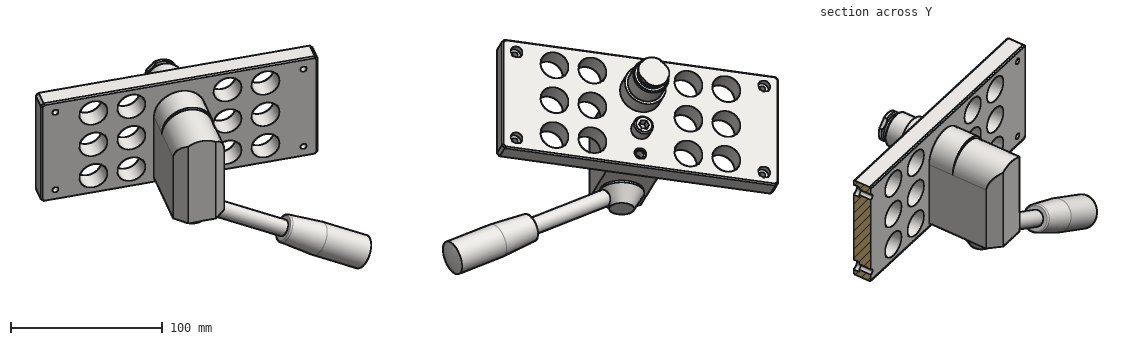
import cadquery as cq
import math


plate_thickness = 13.9
plate_width = 189.8
plate_height = 81.1
plate_top = 26.5
plate_center_z = plate_top - plate_height / 2
plate_corner_chamfer = 2.0
plate_face_chamfer = 1.0

grid_hole_diameter = 19.0
grid_pitch = 26.0
grid_inner_y = 33.0

screw_hole_diameter = 4.1
screw_head_diameter = 8.0
screw_head_depth = 4.3
screw_y = 85.0
screw_z = 32.0

socket_z = -45.1
socket_head_diameter = 8.0
socket_head_depth = 1.5
socket_diameter = 5.5
socket_depth = 8.7

body_half_width = 17.5
body_step_x = 32.8
body_end_x = 67.7
body_bottom = -50.5
front_crown_height = body_half_width
rear_crown_height = 15.8
body_end_chamfer = 8.0

plug_base_diameter = 28.2
plug_base_end = 11.7
plug_collar_diameter = 24.5
plug_collar_end = 25.4
plug_collar_chamfer = 0.9
plug_groove_diameter = 19.0
plug_groove_end = 28.0
plug_tip_diameter = 21.0
plug_tip_start = 29.0
plug_end = 31.5
tip_flat_distance = 9.8
tip_flat_tilt = 45

pin_z = -27.8
pin_diameter = 13.0
pin_length = 8.5
pin_chamfer = 1.0
hex_corner_diameter = 7.0
hex_depth = 5.5
drill_point_half_angle = 59

boss_x = 43.8
boss_top_diameter = 29.0
boss_diameter = 30.0
boss_rim_height = 1.7
boss_tip_diameter = 16.5
boss_height = 13.5

lever_pivot_z = -51.0
lever_tilt = 30
rod_diameter = 11.5
grip_start = 72.2
grip_taper_end = 99.1
grip_end = 134.3
grip_start_diameter = 19.0
grip_diameter = 23.0
grip_start_fillet = 1.0
grip_dome_height = 2.8

embed = 4.3


def drill(diameter, depth, y, z):
    """Cylinder that starts at the plate face and runs in +X."""
    return cq.Workplane("YZ").center(y, z).circle(diameter / 2).extrude(depth)


def make_plate():
    plate = (
        cq.Workplane("XY")
        .box(plate_thickness, plate_width, plate_height)
        .translate((plate_thickness / 2, 0, plate_center_z))
    )
    plate = plate.edges("|X").chamfer(plate_corner_chamfer)
    plate = plate.faces("<X or >X").edges().chamfer(plate_face_chamfer)

    for row in (-1, 0, 1):
        z = plate_center_z + row * grid_pitch
        for side in (-1, 1):
            for offset in (grid_inner_y, grid_inner_y + grid_pitch):
                plate = plate.cut(drill(grid_hole_diameter, plate_thickness, side * offset, z))

    for y in (-screw_y, screw_y):
        for z in (plate_center_z - screw_z, plate_center_z + screw_z):
            plate = plate.cut(drill(screw_hole_diameter, plate_thickness, y, z))
            plate = plate.cut(drill(screw_head_diameter, screw_head_depth, y, z))

    plate = plate.cut(drill(socket_head_diameter, socket_head_depth, 0, socket_z))
    return plate.cut(drill(socket_diameter, socket_depth, 0, socket_z))


def make_body_section(start, end, crown_height):
    """Straight-sided block with an arched top, from X = start to X = end."""
    return (
        cq.Workplane("YZ", origin=(start, 0, 0))
        .moveTo(-body_half_width, body_bottom)
        .lineTo(-body_half_width, 0)
        .threePointArc((0, crown_height), (body_half_width, 0))
        .lineTo(body_half_width, body_bottom)
        .close()
        .extrude(end - start)
    )


def make_body():
    front = make_body_section(plate_thickness, body_step_x, front_crown_height)
    rear = make_body_section(body_step_x, body_end_x, rear_crown_height)
    for side in (-1, 1):
        corner = (
            cq.Workplane("XY", origin=(0, 0, body_bottom))
            .moveTo(body_end_x, side * body_half_width)
            .lineTo(body_end_x - body_end_chamfer, side * body_half_width)
            .lineTo(body_end_x, side * (body_half_width - body_end_chamfer))
            .close()
            .extrude(rear_crown_height - body_bottom)
        )
        rear = rear.cut(corner)
    return front.union(rear)


def make_plug():
    base_radius = plug_base_diameter / 2
    collar_radius = plug_collar_diameter / 2
    groove_radius = plug_groove_diameter / 2
    tip_radius = plug_tip_diameter / 2
    plug = (
        cq.Workplane("XY")
        .polyline([
            (embed, 0),
            (embed, base_radius),
            (-plug_base_end, base_radius),
            (-plug_base_end, collar_radius),
            (plug_collar_chamfer - plug_collar_end, collar_radius),
            (-plug_collar_end, collar_radius - plug_collar_chamfer),
            (-plug_collar_end, groove_radius),
            (-plug_groove_end, groove_radius),
            (-plug_tip_start, tip_radius),
            (-plug_end, tip_radius),
            (-plug_end, 0),
        ])
        .close()
        .revolve(360, (0, 0, 0), (1, 0, 0))
    )
    tip_length = plug_end - plug_collar_end
    for side in (-1, 1):
        flat = (
            cq.Workplane("XY")
            .box(tip_length, plug_tip_diameter, plug_tip_diameter)
            .translate((-plug_end + tip_length / 2, 0, side * (tip_flat_distance + tip_radius)))
            .rotate((0, 0, 0), (1, 0, 0), tip_flat_tilt)
        )
        plug = plug.cut(flat)
    return plug


def make_pin():
    pin = cq.Workplane("YZ", origin=(-pin_length, 0, pin_z)).circle(pin_diameter / 2)
    pin = pin.extrude(pin_length + embed).faces("<X").chamfer(pin_chamfer)
    corner_radius = hex_corner_diameter / 2
    point_depth = corner_radius / math.tan(math.radians(drill_point_half_angle))
    pointed_bore = (
        cq.Workplane("XY", origin=(-pin_length, 0, pin_z))
        .polyline([
            (0, 0),
            (0, corner_radius),
            (hex_depth, corner_radius),
            (hex_depth + point_depth, 0),
        ])
        .close()
        .revolve(360, (0, 0, 0), (1, 0, 0))
    )
    hexagon = (
        cq.Workplane("YZ", origin=(-pin_length, 0, pin_z))
        .polygon(6, hex_corner_diameter)
        .extrude(hex_depth + point_depth)
    )
    return pin.cut(hexagon.intersect(pointed_bore))


def make_boss():
    return (
        cq.Workplane("XZ", origin=(boss_x, 0, body_bottom))
        .polyline([
            (0, embed),
            (boss_top_diameter / 2, embed),
            (boss_top_diameter / 2, 0),
            (boss_diameter / 2, -boss_rim_height),
            (boss_tip_diameter / 2, -boss_height),
            (0, -boss_height),
        ])
        .close()
        .revolve(360, (0, 0, 0), (0, 1, 0))
    )


def make_lever():
    """Lever built along +Y, then tilted down about its pivot."""
    rod = cq.Workplane("XZ").circle(rod_diameter / 2).extrude(-grip_start - embed)
    grip = (
        cq.Workplane("XY")
        .moveTo(0, grip_start)
        .lineTo(grip_start_diameter / 2, grip_start)
        .lineTo(grip_diameter / 2, grip_taper_end)
        .lineTo(grip_diameter / 2, grip_end)
        .lineTo(0, grip_end)
        .close()
        .revolve(360, (0, 0, 0), (0, 1, 0))
        .faces("<Y")
        .edges()
        .fillet(grip_start_fillet)
    )
    rim_radius = grip_diameter / 2
    dome_radius = (rim_radius ** 2 + grip_dome_height ** 2) / (2 * grip_dome_height)
    half_angle = math.asin(rim_radius / dome_radius) / 2
    dome = (
        cq.Workplane("XY")
        .moveTo(0, grip_end)
        .lineTo(rim_radius, grip_end)
        .threePointArc(
            (
                dome_radius * math.sin(half_angle),
                grip_end + grip_dome_height - dome_radius * (1 - math.cos(half_angle)),
            ),
            (0, grip_end + grip_dome_height),
        )
        .close()
        .revolve(360, (0, 0, 0), (0, 1, 0))
    )
    lever = rod.union(grip).union(dome)
    return lever.rotate((0, 0, 0), (1, 0, 0), -lever_tilt).translate((boss_x, 0, lever_pivot_z))


result = make_plate().union(make_body())
for feature in (make_plug(), make_pin(), make_boss(), make_lever()):
    result = result.union(feature)